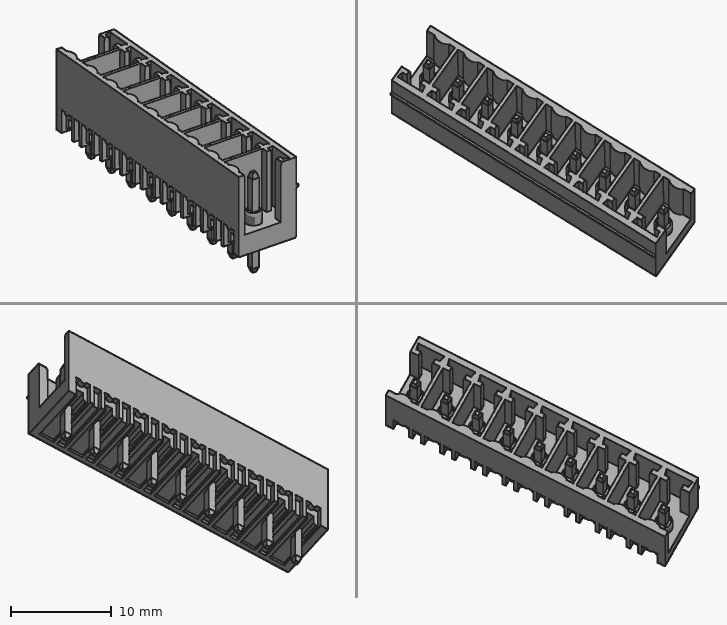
import cadquery as cq


pin_count = 9
pitch = 3.5
housing_length = pin_count * pitch
housing_depth = 7.0
housing_height = 9.2
rear_edge_chamfer = 0.15

rib_projection = 0.25
rib_top_z = 6.0
rib_tip_height = 0.2
rib_root_height = 0.35

floor_z = 2.35
front_wall = 0.72
back_wall = 0.65
latch_front_y = 5.12
latch_back_y = 5.7
divider_half = 0.19
divider_draft = 0.1
bump_half_width = 0.87
bump_height = 0.33
neck_half_width = 0.74
latch_slot_half_front = 1.33
latch_slot_half_back = 1.47
lead_in_width = 0.1
lead_in_height = 0.4
lead_in_z = housing_height - lead_in_height

pin_y = 3.0
pin_width = 0.8
pin_tip_width = 0.4
pin_tip_height = 0.6
pin_top_z = 8.0
pin_bottom_z = -3.4
collar_diameter = 1.8
collar_top_z = 3.65
collar_rounding_width = 0.2
collar_rounding_height = 0.3

opening_depth = 0.55
opening_top_z = 2.65
pin_opening_width = 1.75
pin_channel_top_z = 0.37
divider_opening_width = 0.88
divider_channel_top_z = 0.45
notch_half_width = 0.35
notch_depth = 0.3
pin_groove_top_z = 1.6
pin_groove_flare = 0.25

pin_positions = [(index + 0.5) * pitch for index in range(pin_count)]
divider_positions = [index * pitch for index in range(1, pin_count)]


def box(x_min, x_max, y_min, y_max, z_min, z_max):
    """Axis-aligned box between the given limits."""
    size = (x_max - x_min, y_max - y_min, z_max - z_min)
    return cq.Workplane("XY").box(*size, centered=False).translate((x_min, y_min, z_min))


def front_profile(start_y):
    """XZ sketch plane at start_y; a negative extrusion from it runs toward +Y."""
    return cq.Workplane("XZ", origin=(0, start_y, 0))


def housing_block():
    """Side profile of the housing, with the back rib and the chamfered rear lower edge."""
    rib_y = housing_depth + rib_projection
    return (
        cq.Workplane("YZ")
        .moveTo(0, 0)
        .lineTo(housing_depth - rear_edge_chamfer, 0)
        .lineTo(housing_depth, rear_edge_chamfer)
        .lineTo(housing_depth, rib_top_z - rib_root_height)
        .lineTo(rib_y, rib_top_z - rib_tip_height)
        .lineTo(rib_y, rib_top_z)
        .lineTo(housing_depth, rib_top_z)
        .lineTo(housing_depth, housing_height)
        .lineTo(0, housing_height)
        .close()
        .extrude(housing_length)
    )


def chamber_outline(plane, pin_x, left, right, widening):
    """Plan of the main chamber, with the front bump; widening opens it to front and back."""
    front = front_wall - widening
    return (
        plane.moveTo(left, front)
        .lineTo(pin_x - bump_half_width, front)
        .threePointArc((pin_x, front + bump_height), (pin_x + bump_half_width, front))
        .lineTo(right, front)
        .lineTo(right, latch_front_y + widening)
        .lineTo(left, latch_front_y + widening)
        .close()
    )


def chamber_section(pin_x, left, bottom, top):
    """Straight-sided part of a chamber; bottom and top each give (z, right side, widening)."""
    bottom_z, bottom_right, bottom_widening = bottom
    top_z, top_right, top_widening = top
    plane = cq.Workplane("XY", origin=(0, 0, bottom_z))
    lower_end = chamber_outline(plane, pin_x, left, bottom_right, bottom_widening)
    upper_plane = lower_end.workplane(offset=top_z - bottom_z, origin=(0, 0, 0))
    upper_end = chamber_outline(upper_plane, pin_x, left, top_right, top_widening)
    return upper_end.loft(ruled=True)


def chamber(pin_x):
    """Main chamber: drafted on its +X side, open at the ends of the row, flared at the mouth."""
    is_first = pin_x == pin_positions[0]
    is_last = pin_x == pin_positions[-1]
    left = 0 if is_first else pin_x - pitch / 2 + divider_half
    right_top = housing_length if is_last else pin_x + pitch / 2 - divider_half
    draft = 0 if is_last else divider_draft
    right_floor = right_top - draft
    right_lead_in = right_top - draft * lead_in_height / (housing_height - floor_z)

    lower = chamber_section(
        pin_x, left, (floor_z, right_floor, 0), (lead_in_z, right_lead_in, 0)
    )
    mouth = chamber_section(
        pin_x, left, (lead_in_z, right_lead_in, 0), (housing_height, right_top, lead_in_width)
    )
    return lower.union(mouth)


def latch_slot(pin_x):
    """T-shaped slot behind the chamber: a neck flared at the mouth and a wider rear part."""
    flared_half = neck_half_width + lead_in_width
    neck = (
        front_profile(latch_front_y)
        .moveTo(pin_x - neck_half_width, floor_z)
        .lineTo(pin_x + neck_half_width, floor_z)
        .lineTo(pin_x + neck_half_width, lead_in_z)
        .lineTo(pin_x + flared_half, housing_height)
        .lineTo(pin_x - flared_half, housing_height)
        .lineTo(pin_x - neck_half_width, lead_in_z)
        .close()
        .extrude(latch_front_y - latch_back_y)
    )
    back_y = housing_depth - back_wall
    rear = (
        cq.Workplane("XY", origin=(0, 0, floor_z))
        .moveTo(pin_x - latch_slot_half_front, latch_back_y)
        .lineTo(pin_x + latch_slot_half_front, latch_back_y)
        .lineTo(pin_x + latch_slot_half_back, back_y)
        .lineTo(pin_x - latch_slot_half_back, back_y)
        .close()
        .extrude(housing_height - floor_z)
    )
    return neck.union(rear)


def channel(center_x, width, top_z):
    """Shallow channel across the underside, closed by the back wall."""
    half = width / 2
    return box(center_x - half, center_x + half, 0, housing_depth - back_wall, 0, top_z)


def pin_opening(pin_x):
    """Front opening below a pin, with a rounded tooth left hanging from its upper edge."""
    half = pin_opening_width / 2
    return (
        front_profile(0)
        .moveTo(pin_x - half, 0)
        .lineTo(pin_x - half, opening_top_z)
        .lineTo(pin_x - notch_half_width, opening_top_z)
        .threePointArc(
            (pin_x, opening_top_z - notch_depth), (pin_x + notch_half_width, opening_top_z)
        )
        .lineTo(pin_x + half, opening_top_z)
        .lineTo(pin_x + half, 0)
        .close()
        .extrude(-opening_depth)
    )


def pin_groove(pin_x):
    """Groove leading from the front opening back to the pin, flared at its lower edges."""
    half = pin_width / 2
    flared_half = half + pin_groove_flare
    flare_top_z = pin_channel_top_z + pin_groove_flare
    return (
        front_profile(0)
        .moveTo(pin_x - flared_half, pin_channel_top_z)
        .lineTo(pin_x - half, flare_top_z)
        .lineTo(pin_x - half, pin_groove_top_z)
        .lineTo(pin_x + half, pin_groove_top_z)
        .lineTo(pin_x + half, flare_top_z)
        .lineTo(pin_x + flared_half, pin_channel_top_z)
        .close()
        .extrude(-(pin_y - pin_width / 2))
    )


def divider_opening(center_x):
    """Plain rectangular front opening below a divider."""
    half = divider_opening_width / 2
    return box(center_x - half, center_x + half, 0, opening_depth, 0, opening_top_z)


def pin_tip(pin_x, base_z, direction):
    """Tapered pin end that narrows away from base_z; direction is +1 up or -1 down."""
    return (
        cq.Workplane("XY", origin=(pin_x, pin_y, base_z))
        .rect(pin_width, pin_width)
        .workplane(offset=direction * pin_tip_height)
        .rect(pin_tip_width, pin_tip_width)
        .loft(ruled=True)
    )


def pin_with_collar(pin_x):
    """Square pin with two tapered ends and a rounded collar on the cavity floor."""
    half = pin_width / 2
    shank_bottom_z = pin_bottom_z + pin_tip_height
    shank_top_z = pin_top_z - pin_tip_height
    shank = box(pin_x - half, pin_x + half, pin_y - half, pin_y + half, shank_bottom_z, shank_top_z)
    collar_radius = collar_diameter / 2
    collar = (
        front_profile(pin_y)
        .center(pin_x, 0)
        .moveTo(0, floor_z)
        .lineTo(collar_radius, floor_z)
        .lineTo(collar_radius, collar_top_z - collar_rounding_height)
        .tangentArcPoint((collar_radius - collar_rounding_width, collar_top_z), relative=False)
        .lineTo(0, collar_top_z)
        .close()
        .revolve()
    )
    return (
        shank.union(pin_tip(pin_x, shank_bottom_z, -1))
        .union(pin_tip(pin_x, shank_top_z, 1))
        .union(collar)
    )


result = housing_block()

for x in pin_positions:
    result = result.cut(chamber(x)).cut(latch_slot(x))
    result = result.cut(pin_opening(x)).cut(pin_groove(x))
    result = result.cut(channel(x, pin_opening_width, pin_channel_top_z))

for x in divider_positions:
    result = result.cut(divider_opening(x))
    result = result.cut(channel(x, divider_opening_width, divider_channel_top_z))

for x in pin_positions:
    result = result.union(pin_with_collar(x))